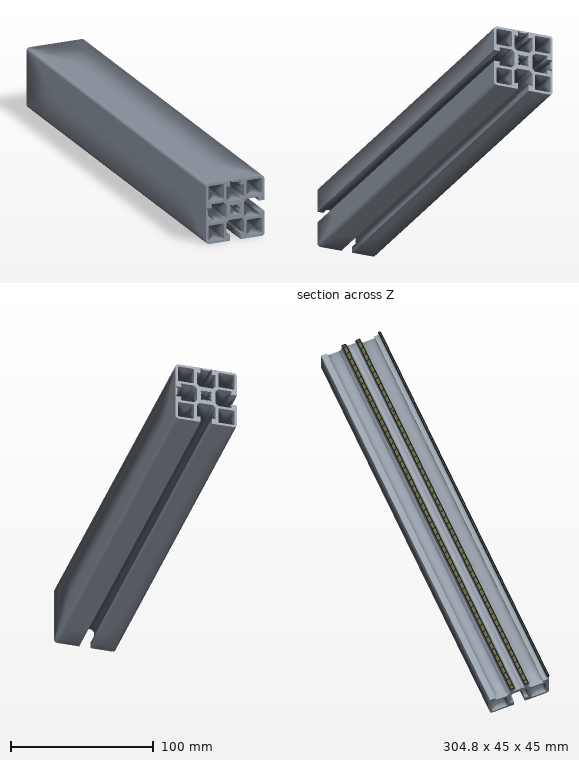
import cadquery as cq

LENGTH = 304.8
SIDE = 45.0
CORNER_RADIUS = 2.5
WALL = 1.8
WEB = 1.9
TUBE_CORNER_RADIUS = 1.0

CORE_BORE_DIAMETER = 7.6
GROOVE_WIDTH = 1.9
GROOVE_REACH = 5.3

SLOT_OPENING = 8.2
SLOT_WIDTH = 13.8
SLOT_FLOOR = 6.9
SLOT_FLOOR_CHAMFER = 2.0
LIP_DEPTH = 4.5
LIP_TIP_WIDTH = 1.0
LIP_ROOT_DEPTH = 4.1

COVER_EDGE = 0.4
COVER_MIDDLE = 1.5
COVER_MIDDLE_WIDTH = 4.6
COVER_EDGE_WIDTH = 0.5

HALF = SIDE / 2


def extrude_profile(sketch):
    """Extrude a cross-section in the YZ plane over the full length."""
    return sketch.extrude(LENGTH / 2, both=True)


def outer_bar():
    bar = cq.Workplane("YZ").rect(SIDE, SIDE)
    return extrude_profile(bar).edges("|X").fillet(CORNER_RADIUS)


def corner_tubes():
    """Square voids, one in each corner of the profile."""
    inner = SLOT_WIDTH / 2 + WEB
    outer = HALF - WALL
    size = outer - inner
    middle = (outer + inner) / 2
    centres = [(y * middle, z * middle) for y in (-1, 1) for z in (-1, 1)]
    tubes = cq.Workplane("YZ").pushPoints(centres).rect(size, size)
    return extrude_profile(tubes).edges("|X").fillet(TUBE_CORNER_RADIUS)


def slot(closed):
    """T-slot void opening toward +Z; a closed slot keeps a break-out cover."""
    opening = SLOT_OPENING / 2
    side = SLOT_WIDTH / 2
    right_half = [
        (side - SLOT_FLOOR_CHAMFER, SLOT_FLOOR),
        (side, SLOT_FLOOR + SLOT_FLOOR_CHAMFER),
        (side, HALF - LIP_ROOT_DEPTH),
        (opening + LIP_TIP_WIDTH, HALF - LIP_ROOT_DEPTH),
        (opening + LIP_TIP_WIDTH, HALF - LIP_DEPTH),
        (opening, HALF - LIP_DEPTH),
    ]
    if closed:
        right_half += [
            (opening, HALF - COVER_EDGE),
            (opening - COVER_EDGE_WIDTH, HALF - COVER_EDGE),
            (COVER_MIDDLE_WIDTH / 2, HALF - COVER_MIDDLE),
        ]
    else:
        right_half.append((opening, HALF))
    left_half = [(-y, z) for y, z in reversed(right_half)]
    return extrude_profile(cq.Workplane("YZ").polyline(right_half + left_half).close())


def core_bore():
    bore = extrude_profile(cq.Workplane("YZ").circle(CORE_BORE_DIAMETER / 2))
    for angle in (45, 135):
        groove_pair = cq.Workplane("YZ").slot2D(2 * GROOVE_REACH, GROOVE_WIDTH, angle)
        bore = bore.union(extrude_profile(groove_pair))
    return bore


def turned(body, angle):
    """Turn a body about the long axis of the profile."""
    return body.rotate((0, 0, 0), (1, 0, 0), angle)


result = outer_bar().cut(corner_tubes()).cut(core_bore())

for angle, closed in ((0, True), (90, True), (180, False), (270, False)):
    result = result.cut(turned(slot(closed), angle))